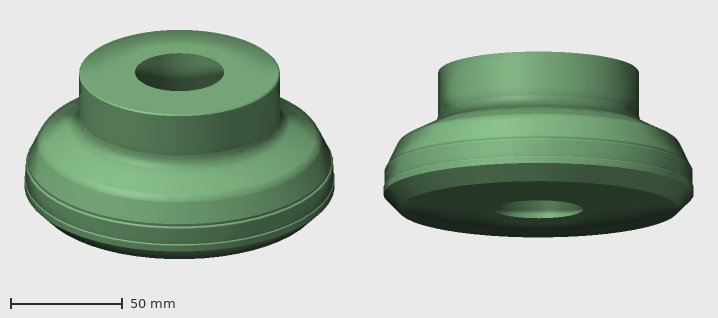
import cadquery as cq


total_height = 63.0
bore_radius = 40.0 / 2
band_radius = 138.0 / 2
joint_height = 10.9

base_radius = 69.6
base_bottom_radius = 62.8
bevel_height = 7.0
base_rim_height = 10.3
base_edge_round = 0.5

band_top_height = 18.7
band_edge_round = 0.8
skirt_bottom_radius = 67.9
skirt_bottom_height = 19.8
shoulder_radius = 62.9
shoulder_height = 30.3
shoulder_round = 5.5
neck_radius = 90.0 / 2
neck_bottom_height = 39.3
neck_round = 6.1
neck_top_chamfer = 0.5


def turned(outer_points):
    """Revolve an outer profile, given as (radius, height) from bottom to top, around the bore."""
    bottom = outer_points[0][1]
    top = outer_points[-1][1]
    profile = [(bore_radius, bottom), *outer_points, (bore_radius, top)]
    return cq.Workplane("XZ").polyline(profile).close().revolve(360, (0, 0), (0, 1))


def circle_at(body, radius, height):
    """Select the circular edge of a turned body at a given radius and height."""
    tolerance = 0.001

    def matches(edge):
        if edge.geomType() != "CIRCLE":
            return False
        return abs(edge.radius() - radius) < tolerance and abs(edge.Center().z - height) < tolerance

    return body.edges().filter(matches)


def make_base_ring():
    ring = turned([
        (base_bottom_radius, 0),
        (base_radius, bevel_height),
        (base_radius, base_rim_height),
        (band_radius, base_rim_height),
        (band_radius, joint_height),
    ])
    return circle_at(ring, base_radius, base_rim_height).fillet(base_edge_round)


def make_hub():
    hub = turned([
        (band_radius, joint_height),
        (band_radius, band_top_height),
        (skirt_bottom_radius, band_top_height),
        (skirt_bottom_radius, skirt_bottom_height),
        (shoulder_radius, shoulder_height),
        (neck_radius, neck_bottom_height),
        (neck_radius, total_height),
    ])
    hub = circle_at(hub, band_radius, band_top_height).fillet(band_edge_round)
    hub = circle_at(hub, shoulder_radius, shoulder_height).fillet(shoulder_round)
    hub = circle_at(hub, neck_radius, neck_bottom_height).fillet(neck_round)
    return circle_at(hub, neck_radius, total_height).chamfer(neck_top_chamfer)


base_ring = make_base_ring()
hub = make_hub()

result = cq.Compound.makeCompound([base_ring.val(), hub.val()])